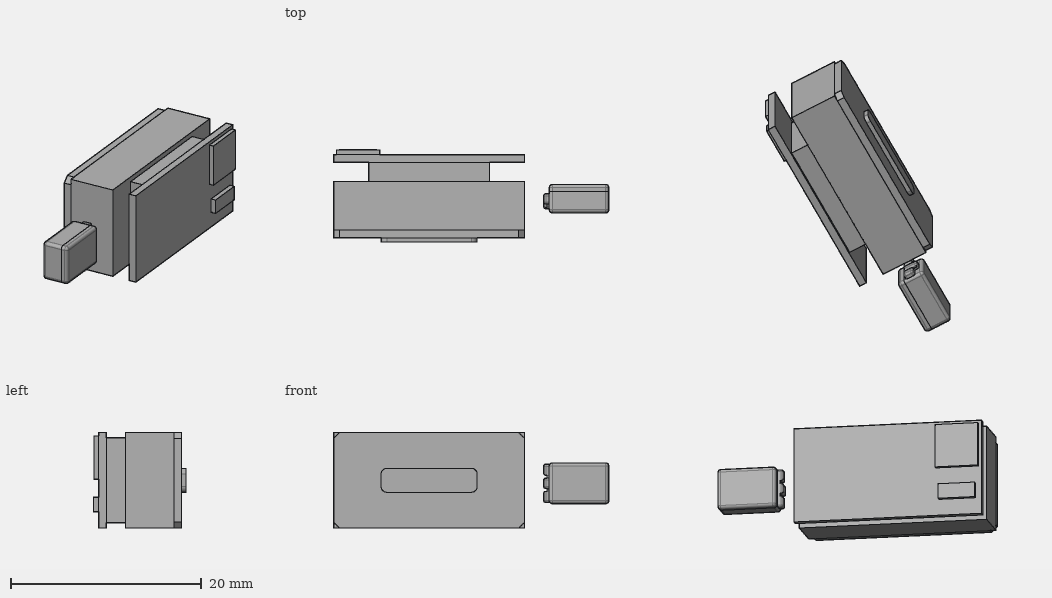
import cadquery as cq


housing_length = 20.02
housing_height = 10.05
housing_depth = 5.1
housing_mid_x = housing_length / 2

cover_thickness = 0.8
cover_corner_chamfer = 0.63
pad_length = 10.07
pad_height = 2.5
pad_thickness = 0.45
pad_corner_radius = 0.6

spacer_length = 12.7
spacer_height = 8.95
spacer_depth = 2.0

board_thickness = 0.8
chip_thickness = 0.5
header_thickness = 0.55
component_mid_x = 2.57
chip_size = 4.55
chip_mid_z = 2.37
header_length = 3.87
header_height = 1.55
header_mid_z = -2.55

case_right = 28.85
case_length = 6.25
case_height = 4.3
case_mid_z = -0.32
case_front_y = 2.6
case_depth = 3.0
case_back_half_depth = 0.75
case_edge_radius = 0.35

block_front_y = 3.03
block_back_y = 4.62
block_height = 4.05
block_edge_radius = 0.23
rib_depth = 0.5
rib_height = 1.15
collar_length = 0.23
tooth_length = 0.35
tooth_tip_radius = 0.23
slot_height = 0.3
slot_offset = 0.7

housing_front_y = cover_thickness
spacer_front_y = housing_front_y + housing_depth
board_front_y = spacer_front_y + spacer_depth
board_back_y = board_front_y + board_thickness

case_left = case_right - case_length
case_mid_x = case_left + case_length / 2
case_split_y = case_front_y + case_depth - case_back_half_depth


def slab(length, height, depth, mid_x, front_y, mid_z=0):
    """Box centred on mid_x and mid_z that runs back from front_y."""
    return cq.Workplane("XY").box(length, depth, height).translate((mid_x, front_y + depth / 2, mid_z))


def make_cover():
    plate = slab(housing_length, housing_height, cover_thickness, housing_mid_x, 0)
    plate = plate.edges("|Y").chamfer(cover_corner_chamfer)
    pad = slab(pad_length, pad_height, pad_thickness, housing_mid_x, -pad_thickness)
    pad = pad.edges("|Y").fillet(pad_corner_radius)
    return plate.union(pad)


def make_housing():
    return slab(housing_length, housing_height, housing_depth, housing_mid_x, housing_front_y)


def make_spacer():
    return slab(spacer_length, spacer_height, spacer_depth, housing_mid_x, spacer_front_y)


def make_board():
    board = slab(housing_length, housing_height, board_thickness, housing_mid_x, board_front_y)
    chip = slab(chip_size, chip_size, chip_thickness, component_mid_x, board_back_y, chip_mid_z)
    header = slab(
        header_length, header_height, header_thickness, component_mid_x, board_back_y, header_mid_z
    )
    return board.union(chip).union(header)


def make_case_blank():
    blank = slab(case_length, case_height, case_depth, case_mid_x, case_front_y, case_mid_z)
    return blank.edges().fillet(case_edge_radius)


def t_profile_bar(length, right_x):
    """Bar along X with a rounded T section whose rib points to the front."""
    bar_mid_x = right_x - length / 2
    rib_back_y = block_front_y + rib_depth
    body = slab(length, block_height, block_back_y - rib_back_y, bar_mid_x, rib_back_y, case_mid_z)
    rib = slab(length, rib_height, rib_depth, bar_mid_x, block_front_y, case_mid_z)
    return body.union(rib).edges("|X").fillet(block_edge_radius)


def make_contact_block():
    collar = t_profile_bar(collar_length, case_left)
    teeth = t_profile_bar(tooth_length, case_left - collar_length)
    slot_depth = block_back_y - block_front_y
    slot_mid_x = case_left - collar_length - tooth_length / 2
    for side in (-1, 1):
        slot_mid_z = case_mid_z + side * slot_offset
        slot = slab(tooth_length, slot_height, slot_depth, slot_mid_x, block_front_y, slot_mid_z)
        teeth = teeth.cut(slot)
    teeth = teeth.faces("<X").edges().fillet(tooth_tip_radius)
    return collar.union(teeth)


def make_case_halves():
    blank = make_case_blank()
    back_space = slab(case_length, case_height, case_back_half_depth, case_mid_x, case_split_y, case_mid_z)
    front_half = blank.cut(back_space).union(make_contact_block())
    back_half = blank.intersect(back_space)
    return front_half, back_half


cover = make_cover()
housing = make_housing()
spacer = make_spacer()
board = make_board()
case_front, case_back = make_case_halves()

result = cq.Compound.makeCompound(
    [cover.val(), housing.val(), spacer.val(), board.val(), case_front.val(), case_back.val()]
)